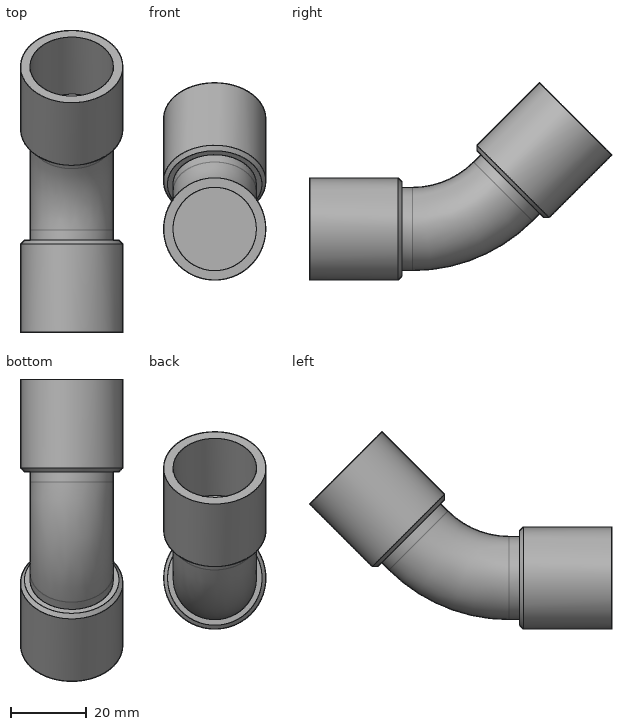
import cadquery as cq
import math

socket_diameter = 27.0
pipe_diameter = 22.0
socket_length = 24.4
socket_depth = 21.3
socket_chamfer = 1.0
neck_length = 2.7
bend_radius = 33.8
bend_angle = 45.0

straight_length = socket_length + neck_length
angle = math.radians(bend_angle)
bend_end_y = straight_length + bend_radius * math.sin(angle)
bend_end_z = bend_radius * (1 - math.cos(angle))
outlet_y = bend_end_y + straight_length * math.cos(angle)
outlet_z = bend_end_z + straight_length * math.sin(angle)

inlet_plane = cq.Plane(origin=(0, 0, 0), xDir=(1, 0, 0), normal=(0, 1, 0))
outlet_plane = cq.Plane(
    origin=(0, outlet_y, outlet_z),
    xDir=(1, 0, 0),
    normal=(0, -math.cos(angle), -math.sin(angle)),
)


def make_socket_end(mouth_plane):
    """Socket and neck, running from the mouth plane inwards to the bend."""
    socket = (
        cq.Workplane(mouth_plane)
        .circle(socket_diameter / 2)
        .extrude(socket_length)
    )
    inner_rim = cq.Workplane(mouth_plane).workplane(offset=socket_length)
    socket = socket.faces(cq.NearestToPointSelector(inner_rim.plane.origin.toTuple()))
    socket = socket.edges().chamfer(socket_chamfer)
    neck = inner_rim.circle(pipe_diameter / 2).extrude(neck_length)
    bore = cq.Workplane(mouth_plane).circle(pipe_diameter / 2).extrude(socket_depth)
    return socket.union(neck).cut(bore)


bend = (
    cq.Workplane(inlet_plane)
    .workplane(offset=straight_length)
    .circle(pipe_diameter / 2)
    .revolve(bend_angle, (0, -bend_radius), (1, -bend_radius))
)

result = bend.union(make_socket_end(inlet_plane)).union(make_socket_end(outlet_plane))